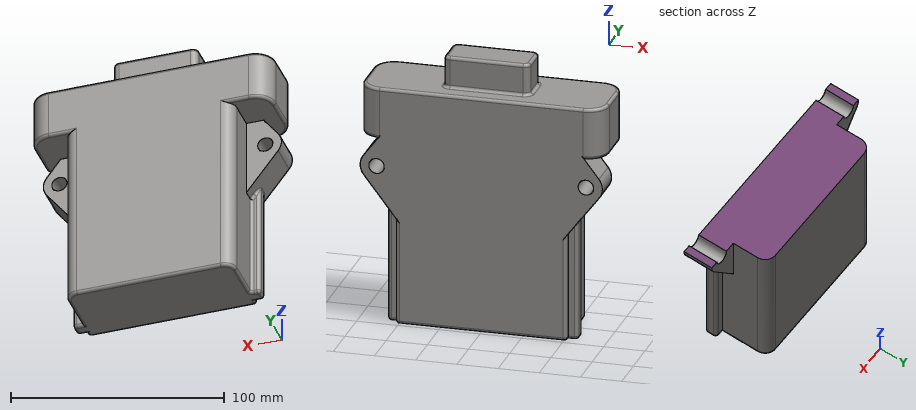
import cadquery as cq
import math

TOTAL_HEIGHT = 133.0
DEPTH = 36.0
FRONT = -DEPTH / 2

EDGE_RADIUS = 1.5

MARGIN = 0.3

HEAD_WIDTH = 118.8
HEAD_HEIGHT = 25.3
HEAD_CORNER_RADIUS = 10.0

PLUG_WIDTH = 41.5
PLUG_DEPTH = 17.8
PLUG_HEIGHT = 15.5
PLUG_CORNER_RADIUS = 3.0

HEAD_TOP = TOTAL_HEIGHT - PLUG_HEIGHT
HEAD_BOTTOM = HEAD_TOP - HEAD_HEIGHT

BODY_WIDTH = 83.0
BODY_BACK_RADIUS = 6.0
BODY_FRONT_RADIUS = 1.7

RAIL_WIDTH_OVER_BOTH = 92.3
RAIL_DEPTH = 6.7
RAIL_FROM_FRONT = 3.0
RAIL_FRONT = FRONT + RAIL_FROM_FRONT
RAIL_BACK = RAIL_FRONT + RAIL_DEPTH
RAIL_TIP_RADIUS = 1.7

EAR_THICKNESS = 16.1
EAR_RADIUS = 8.0
EAR_HOLE_DIAMETER = 7.5
EAR_HOLE_X = 50.8
EAR_HOLE_Z = 78.2
EAR_FLANK_ANGLE = 52.4
EAR_ROOT_X = BODY_WIDTH / 2 - 4.0


def make_body():
    height = HEAD_TOP - EDGE_RADIUS
    body = cq.Workplane("XY").box(BODY_WIDTH, DEPTH, height, centered=(True, True, False))
    body = body.edges("|Z and >Y").fillet(BODY_BACK_RADIUS)
    return body.edges("|Z and <Y").fillet(BODY_FRONT_RADIUS)


def make_rails():
    """Both rails as one bar running through the body."""
    return (
        cq.Workplane("XY")
        .box(RAIL_WIDTH_OVER_BOTH, RAIL_DEPTH, EAR_HOLE_Z, centered=(True, False, False))
        .translate((0, RAIL_FRONT, 0))
        .edges("|Z")
        .fillet(RAIL_TIP_RADIUS)
    )


def make_ear():
    """Right-hand ear: a round tip with two straight flanks running back into the body."""
    angle = math.radians(EAR_FLANK_ANGLE)
    tangent_x = EAR_HOLE_X + EAR_RADIUS * math.sin(angle)
    tangent_rise = EAR_RADIUS * math.cos(angle)
    root_rise = tangent_rise + (tangent_x - EAR_ROOT_X) * math.tan(angle)
    return (
        cq.Workplane("XZ", origin=(0, FRONT, 0))
        .moveTo(EAR_ROOT_X, EAR_HOLE_Z - root_rise)
        .lineTo(tangent_x, EAR_HOLE_Z - tangent_rise)
        .threePointArc((EAR_HOLE_X + EAR_RADIUS, EAR_HOLE_Z), (tangent_x, EAR_HOLE_Z + tangent_rise))
        .lineTo(EAR_ROOT_X, EAR_HOLE_Z + root_rise)
        .close()
        .extrude(-EAR_THICKNESS)
    )


def make_head():
    head = (
        cq.Workplane("XY", origin=(0, 0, HEAD_BOTTOM))
        .box(HEAD_WIDTH, DEPTH, HEAD_HEIGHT, centered=(True, True, False))
        .edges("|Z")
        .fillet(HEAD_CORNER_RADIUS)
    )
    head = head.faces("<Z or >Z").edges().fillet(EDGE_RADIUS)
    plug = (
        cq.Workplane("XY", origin=(0, 0, HEAD_TOP))
        .box(PLUG_WIDTH, PLUG_DEPTH, PLUG_HEIGHT, centered=(True, True, False))
        .edges("|Z")
        .fillet(PLUG_CORNER_RADIUS)
        .faces(">Z")
        .edges()
        .fillet(EDGE_RADIUS)
    )
    plug_root = cq.selectors.BoxSelector(
        (-PLUG_WIDTH / 2 - MARGIN, -PLUG_DEPTH / 2 - MARGIN, HEAD_TOP - MARGIN),
        (PLUG_WIDTH / 2 + MARGIN, PLUG_DEPTH / 2 + MARGIN, HEAD_TOP + MARGIN),
        boundingbox=True,
    )
    return head.union(plug).edges(plug_root).fillet(EDGE_RADIUS)


def round_left_rail_root(housing):
    """Round the inner corners where the left rail meets its ear and, behind the rail, the body wall.

    The right rail keeps sharp inner corners.
    """
    wall = -BODY_WIDTH / 2
    tip = -RAIL_WIDTH_OVER_BOTH / 2
    under_ear = cq.selectors.BoxSelector(
        (tip - MARGIN, RAIL_FRONT - MARGIN, EAR_HOLE_Z / 2),
        (wall + MARGIN, RAIL_BACK + MARGIN, EAR_HOLE_Z),
        boundingbox=True,
    )
    behind_rail = cq.selectors.BoxSelector(
        (wall - MARGIN, RAIL_BACK - MARGIN, -MARGIN),
        (wall + MARGIN, RAIL_BACK + MARGIN, EAR_HOLE_Z),
        boundingbox=True,
    )
    return housing.edges(under_ear + behind_rail).fillet(EDGE_RADIUS)


def make_ear_holes():
    return (
        cq.Workplane("XZ", origin=(0, FRONT, 0))
        .pushPoints([(-EAR_HOLE_X, EAR_HOLE_Z), (EAR_HOLE_X, EAR_HOLE_Z)])
        .circle(EAR_HOLE_DIAMETER / 2)
        .extrude(-EAR_THICKNESS)
    )


ear = make_ear()
housing = make_body().union(make_rails()).union(ear).union(ear.mirror("YZ"))
housing = round_left_rail_root(housing)
housing = housing.faces("<Z").edges().fillet(EDGE_RADIUS)
result = housing.union(make_head()).cut(make_ear_holes())